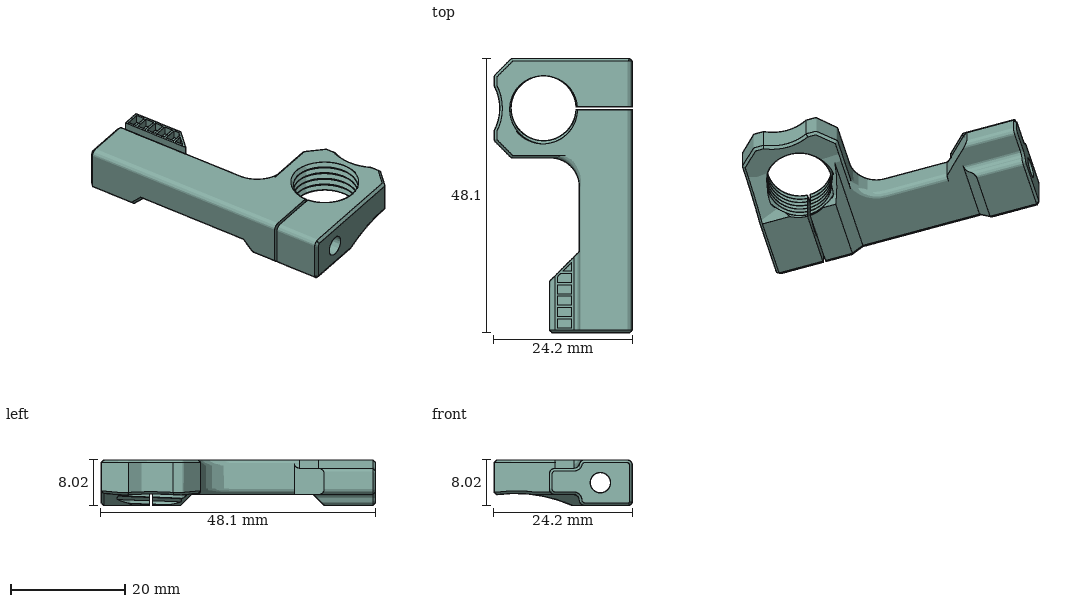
import cadquery as cq
import math

length_x = 24.2
length_y = 48.05
height = 8.02

edge_chamfer = 0.5
edge_round = 1.0
corner_round = 0.6

head_front_y = 30.6
head_centre_y = (head_front_y + length_y) / 2
head_corner_cut = 3.05
thumb_scallop_width = 7.8
thumb_scallop_depth = 0.95
underside_crown_x = 3.75
underside_crown_z = 2.1
underside_end_x = 13.65

bore_x = 8.65
bore_radius = 5.65
thread_root_radius = 6.25
thread_pitch = 1.25
thread_crest_width = 0.1
thread_overlap = 0.025
thread_start_angle = -90.0
slot_width = 0.5

arm_left_x = 14.9
arm_bottom_z = 1.9
inner_corner_radius = 5.0
relief_start_y = 9.0
relief_end_y = 34.15
screw_hole_diameter = 3.5
screw_hole_x = 18.6
screw_hole_z = height / 2

pad_left_x = 9.65
pad_top_z = 6.55
pad_straight_length = 9.0

grating_wall = 0.4
cell_length = 1.6
grating_left_x = pad_left_x + edge_round

pick_margin = 0.5
upright_tolerance = 0.01


def box(x0, x1, y0, y1, z0, z1):
    return cq.Workplane("XY").box(x1 - x0, y1 - y0, z1 - z0, centered=False).translate((x0, y0, z0))


def step_blend(step_z, inward):
    """Centres of the two tangent arcs that join the pad to the arm.

    inward is +1 for the upper step and -1 for the lower one.
    """
    outer_z = height if inward > 0 else 0.0
    concave_z = step_z + inward * edge_round
    convex_x = arm_left_x + edge_round
    convex_z = outer_z - inward * edge_round
    concave_x = convex_x - math.sqrt((2 * edge_round) ** 2 - (convex_z - concave_z) ** 2)
    return (concave_x, concave_z), (convex_x, convex_z)


upper_concave, upper_convex = step_blend(pad_top_z, 1)
lower_concave, lower_convex = step_blend(arm_bottom_z, -1)
grating_right_x = upper_concave[0]


def arc_mid(centre, start, end):
    """Middle point of the short arc from start to end around centre."""
    dx = (start[0] + end[0]) / 2 - centre[0]
    dz = (start[1] + end[1]) / 2 - centre[1]
    scale = edge_round / math.hypot(dx, dz)
    return centre[0] + dx * scale, centre[1] + dz * scale


def midpoint(a, b):
    return (a[0] + b[0]) / 2, (a[1] + b[1]) / 2


def diagonal_outline(x0, x1, y0, inset=0.0):
    """Strip x0..x1 from y0 up to the 45 degree end of the pad, shortened by inset."""
    offset = pad_straight_length - pad_left_x - inset * math.sqrt(2)
    return (
        cq.Workplane("XY")
        .moveTo(x0, y0)
        .lineTo(x1, y0)
        .lineTo(x1, x1 + offset)
        .lineTo(x0, x0 + offset)
        .close()
    )


def make_head():
    """Octagonal clamp head with a thumb scallop and an arched underside."""
    cut = head_corner_cut
    scallop_low = head_centre_y - thumb_scallop_width / 2
    scallop_high = head_centre_y + thumb_scallop_width / 2
    head = (
        cq.Workplane("XY")
        .moveTo(cut, head_front_y)
        .lineTo(length_x, head_front_y)
        .lineTo(length_x, length_y)
        .lineTo(cut, length_y)
        .lineTo(0, length_y - cut)
        .lineTo(0, scallop_high)
        .threePointArc((thumb_scallop_depth, head_centre_y), (0, scallop_low))
        .lineTo(0, head_front_y + cut)
        .close()
        .extrude(height)
    )
    for low_y, high_y in ((head_front_y, head_front_y + cut), (length_y - cut, length_y)):
        corner_zone = cq.selectors.BoxSelector(
            (-pick_margin, low_y - pick_margin, 0), (cut + pick_margin, high_y + pick_margin, height)
        )
        head = head.edges("|Z").edges(corner_zone).fillet(corner_round)

    half_span = underside_end_x - underside_crown_x
    arch_radius = (half_span ** 2 + underside_crown_z ** 2) / (2 * underside_crown_z)
    arch = (
        cq.Workplane("XZ")
        .center(underside_crown_x, underside_crown_z - arch_radius)
        .circle(arch_radius)
        .extrude(-2 * length_y)
    )
    head = head.cut(arch).cut(make_relief())
    outer_bottom = [
        edge for edge in head.edges("not |Z").vals()
        if edge.Center().z < height / 2 and is_wall_edge(head, edge)
        and (edge.Center().x < underside_end_x or edge.Center().y > head_centre_y)
    ]
    outer_top = head.faces(">Z").edges("not >X").vals()
    head = head.newObject(outer_top + outer_bottom).chamfer(edge_chamfer)

    wedge = (
        cq.Workplane("YZ")
        .moveTo(head_front_y, arm_bottom_z)
        .lineTo(head_front_y + edge_chamfer, arm_bottom_z)
        .lineTo(head_front_y, arm_bottom_z + edge_chamfer)
        .close()
        .extrude(length_x)
    )
    return head.cut(wedge)


def is_wall_edge(solid, edge):
    """True if the edge borders an upright face that is not the right-hand side."""
    for face in solid.faces().vals():
        upright = abs(face.normalAt(edge.Center()).z) < upright_tolerance
        on_right = face.Center().x > length_x - pick_margin
        if upright and not on_right and any(edge.isSame(other) for other in face.Edges()):
            return True
    return False


def make_relief():
    """Trapezoidal clearance under the arm, with a 45 degree ramp at each end."""
    return (
        cq.Workplane("YZ")
        .moveTo(relief_start_y, 0)
        .lineTo(relief_start_y + arm_bottom_z, arm_bottom_z)
        .lineTo(relief_end_y - arm_bottom_z, arm_bottom_z)
        .lineTo(relief_end_y, 0)
        .close()
        .extrude(length_x)
    )


def make_arm():
    """Straight arm that flares into the head through a rounded inner corner."""
    r = inner_corner_radius
    arc_centre = (arm_left_x - r, head_front_y - r)
    arc_middle = (arc_centre[0] + r * math.sqrt(0.5), arc_centre[1] + r * math.sqrt(0.5))
    arm = (
        cq.Workplane("XY", origin=(0, 0, arm_bottom_z))
        .moveTo(arm_left_x, relief_start_y)
        .lineTo(length_x, relief_start_y)
        .lineTo(length_x, head_centre_y)
        .lineTo(arc_centre[0], head_centre_y)
        .lineTo(arc_centre[0], head_front_y)
        .threePointArc(arc_middle, (arm_left_x, arc_centre[1]))
        .close()
        .extrude(height - arm_bottom_z)
    )
    flank = cq.selectors.BoxSelector(
        (arc_centre[0] + pick_margin, relief_start_y, 0),
        (arm_left_x + pick_margin, head_front_y - pick_margin, height + pick_margin),
    )
    return arm.edges("#Z").edges(flank).fillet(edge_round)


def make_foot():
    """End block of the arm with the side pad, constant in section up to the 45 degree cut."""
    upper_mid = midpoint(upper_concave, upper_convex)
    lower_mid = midpoint(lower_concave, lower_convex)
    pad_top_end = (upper_concave[0], pad_top_z)
    arm_top_start = (upper_convex[0], height)
    pad_bottom_end = (lower_concave[0], arm_bottom_z)
    arm_bottom_start = (lower_convex[0], 0)
    foot = (
        cq.Workplane("XZ")
        .moveTo(pad_left_x, arm_bottom_z)
        .lineTo(pad_left_x, pad_top_z)
        .lineTo(*pad_top_end)
        .threePointArc(arc_mid(upper_concave, pad_top_end, upper_mid), upper_mid)
        .threePointArc(arc_mid(upper_convex, upper_mid, arm_top_start), arm_top_start)
        .lineTo(length_x, height)
        .lineTo(length_x, 0)
        .lineTo(*arm_bottom_start)
        .threePointArc(arc_mid(lower_convex, arm_bottom_start, lower_mid), lower_mid)
        .threePointArc(arc_mid(lower_concave, lower_mid, pad_bottom_end), pad_bottom_end)
        .close()
        .extrude(-(pad_straight_length + arm_left_x - pad_left_x))
    )
    foot = foot.edges("|Y and <X").fillet(edge_round)
    plan = diagonal_outline(pad_left_x, arm_left_x, 0).extrude(height)
    return foot.intersect(plan.union(box(arm_left_x, length_x, 0, length_y, 0, height))).cut(make_relief())


def make_threaded_bore():
    """Bore core with its helical V groove, longer than the head at both ends."""
    turns = math.ceil(height / thread_pitch) + 2
    thread_length = turns * thread_pitch
    bottom_z = height - (turns - 1) * thread_pitch
    half_width = (thread_pitch - thread_crest_width) / 2
    slope = half_width / (thread_root_radius - bore_radius)
    base_half = half_width + slope * thread_overlap
    helix = cq.Wire.makeHelix(thread_pitch, thread_length, bore_radius)
    groove = (
        cq.Workplane("XZ")
        .moveTo(bore_radius - thread_overlap, -base_half)
        .lineTo(thread_root_radius, 0)
        .lineTo(bore_radius - thread_overlap, base_half)
        .close()
        .sweep(cq.Workplane(obj=helix), isFrenet=True)
    )
    core = (
        cq.Workplane("XY", origin=(0, 0, -2 * thread_pitch))
        .circle(bore_radius)
        .extrude(thread_length + 4 * thread_pitch)
    )
    return (
        core.union(groove)
        .rotate((0, 0, 0), (0, 0, 1), thread_start_angle)
        .translate((bore_x, head_centre_y, bottom_z))
    )


def make_clamp():
    clamp = make_head().union(make_arm()).union(make_foot()).clean()

    clamp = clamp.edges(">X and >Z").fillet(edge_round)
    right_bottom = [e for e in clamp.faces(">X").edges("not |Z").vals() if e.Center().z < height / 2]
    clamp = clamp.newObject(right_bottom).chamfer(edge_chamfer)
    clamp = clamp.edges("|Z and >X and >Y").chamfer(edge_chamfer)
    clamp = clamp.faces("<Y").edges().chamfer(edge_chamfer)

    screw_hole = (
        cq.Workplane("XZ")
        .center(screw_hole_x, screw_hole_z)
        .circle(screw_hole_diameter / 2)
        .extrude(-length_y)
    )
    clamp = clamp.cut(screw_hole)

    slot_y = head_centre_y - slot_width / 2
    slot = box(bore_x, length_x, slot_y, slot_y + slot_width, 0, height)
    return clamp.cut(make_threaded_bore()).cut(slot)


def make_grating():
    """Open frame on the pad: a walled strip divided into cells by cross ribs."""
    grating_height = height - pad_top_z
    grating = diagonal_outline(grating_left_x, grating_right_x, edge_chamfer).extrude(grating_height)
    cell_left = grating_left_x + grating_wall
    cell_right = grating_right_x - grating_wall
    cell_start = edge_chamfer + grating_wall
    end_y = pad_straight_length + cell_right - pad_left_x
    opening = diagonal_outline(cell_left, cell_right, cell_start, grating_wall).extrude(grating_height)
    cell_pitch = cell_length + grating_wall
    for i in range(math.ceil((end_y - cell_start) / cell_pitch)):
        rib_y = cell_start + i * cell_pitch + cell_length
        opening = opening.cut(box(cell_left, cell_right, rib_y, rib_y + grating_wall, 0, grating_height))
    return grating.cut(opening).translate((0, 0, pad_top_z))


clamp = make_clamp()
grating = make_grating()
result = cq.Compound.makeCompound([clamp.val(), grating.val()])